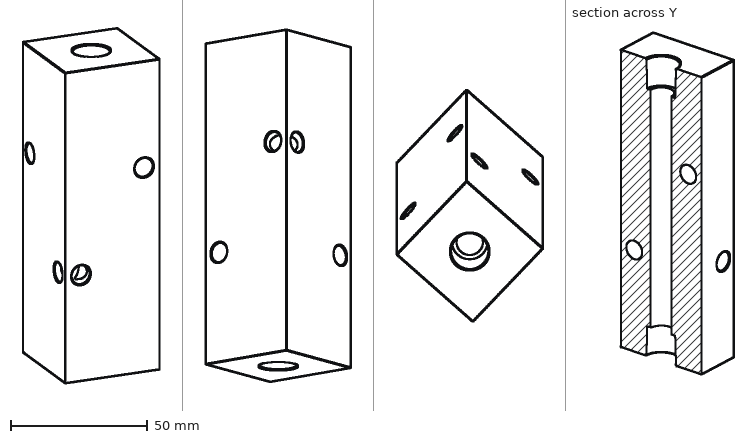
import cadquery as cq

height = 120.6
width = 38.1
edge_break = 0.2

bore_diameter = 9.7
port_rim_diameter = 14.6
port_mouth_diameter = 13.6
port_end_diameter = 12.9
pipe_taper = 1 / 16
port_rim_depth = (port_rim_diameter - port_mouth_diameter) / 2
port_depth = port_rim_depth + (port_mouth_diameter - port_end_diameter) / pipe_taper

cross_diameter = 7.2
cross_rim_diameter = 8.0
cross_offset = 12.7
cross_height = 19.1
cross_bevel = (cross_rim_diameter - cross_diameter) / 2


def revolved_about_z(profile):
    """Solid of revolution about Z from a closed outline of (radius, z) points."""
    return cq.Workplane("XZ").polyline(profile).close().revolve(360, (0, 0), (0, 1))


def make_block():
    """Square bar with every outer edge lightly broken."""
    return cq.Workplane("XY").box(width, width, height).edges().chamfer(edge_break)


def make_axial_bore():
    """Through bore along Z, opening into a bevelled, tapered port at both ends."""
    bore = cq.Workplane("XY").circle(bore_diameter / 2).extrude(height / 2, both=True)
    end = height / 2
    port = revolved_about_z([
        (0, end),
        (port_rim_diameter / 2, end),
        (port_mouth_diameter / 2, end - port_rim_depth),
        (port_end_diameter / 2, end - port_depth),
        (0, end - port_depth),
    ])
    return bore.union(port).union(port.mirror("XY"))


def make_cross_hole():
    """Hole along Z, as long as the block is wide, bevelled at both ends."""
    end = width / 2
    return revolved_about_z([
        (0, end),
        (cross_rim_diameter / 2, end),
        (cross_diameter / 2, end - cross_bevel),
        (cross_diameter / 2, cross_bevel - end),
        (cross_rim_diameter / 2, -end),
        (0, -end),
    ])


result = make_block().cut(make_axial_bore())

cross_hole = make_cross_hole()
hole_along_y = cross_hole.rotate((0, 0, 0), (1, 0, 0), 90)
hole_along_x = cross_hole.rotate((0, 0, 0), (0, 1, 0), 90)
for side in (-1, 1):
    result = result.cut(hole_along_y.translate((-side * cross_offset, 0, side * cross_height)))
    result = result.cut(hole_along_x.translate((0, side * cross_offset, side * cross_height)))